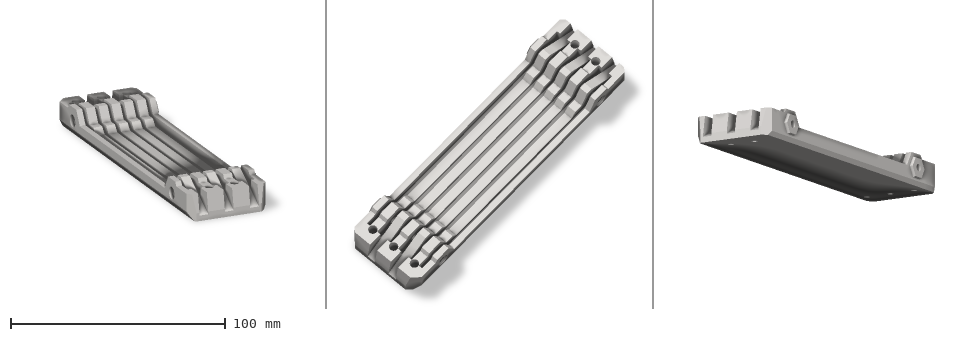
import cadquery as cq

length = 150.0
width = 40.5
height = 15.0
end_height = 13.0
rail_height = 8.1
floor_height = 5.0
half_length = length / 2
half_width = width / 2

end_draft = 1.6
draft_start = 4.0
ridge_outer_foot = 60.2
ridge_outer_top = 59.0
ridge_inner_top = 51.0
ridge_inner_foot = 47.1
shelf_edge = 42.8
floor_edge = 40.0

lane_count = 5
lane_width = 4.5
field_width = 34.5
groove_width = (field_width - lane_count * lane_width) / (lane_count + 1)
lane_pitch = lane_width + groove_width
groove_half_length = 66.2
groove_floor = 3.2

ramp_top = 54.3
ramp_exit_height = 2.7

slant_top_x = 66.8
slant_top_diameter = 4.4
slant_exit_x = 64.6
slant_exit_diameter = 2.8

cross_x = 55.0
cross_z = 8.1
cross_diameter = 3.6
counterbore_diameter = 6.2
counterbore_depth = 1.4
spigot_length = 1.4
spigot_base = 11.2
spigot_tip = 10.4

front_bottom_inward = 2.7
front_bottom_upward = 4.2
back_bottom_inward = 1.4
back_bottom_upward = 2.1
large_corner = 5.4
small_corner = 3.6

corner_margin = 1.5


def side_plate(points, y_low, y_high):
    """Extrude an XZ outline from y_low to y_high."""
    plane = cq.Workplane("XZ", origin=(0, y_high, 0))
    return plane.polyline(points).close().extrude(y_high - y_low)


def lane_y(index):
    return (index - (lane_count - 1) / 2) * lane_pitch


def make_body():
    right_half = [
        (half_length, 0),
        (half_length, draft_start),
        (half_length - end_draft, end_height),
        (ridge_outer_foot, end_height),
        (ridge_outer_top, height),
        (ridge_inner_top, height),
        (ridge_inner_foot, rail_height),
    ]
    left_half = [(-x, z) for x, z in reversed(right_half)]
    return side_plate(right_half + left_half, -half_width, half_width)


def corner_cutter(x_side, y_side, size):
    x, y = x_side * half_length, y_side * half_width
    outline = [
        (x - x_side * size, y),
        (x - x_side * size, y + y_side * corner_margin),
        (x + x_side * corner_margin, y + y_side * corner_margin),
        (x + x_side * corner_margin, y - y_side * size),
        (x, y - y_side * size),
    ]
    return cq.Workplane("XY").polyline(outline).close().extrude(height)


def bottom_cutter(y_side, inward, upward):
    y = y_side * half_width
    outline = [(y - y_side * inward, 0), (y, upward), (y, 0)]
    plane = cq.Workplane("YZ", origin=(-half_length, 0, 0))
    return plane.polyline(outline).close().extrude(length)


def middle_recess():
    outline = [
        (-floor_edge, floor_height),
        (-shelf_edge, rail_height),
        (shelf_edge, rail_height),
        (floor_edge, floor_height),
    ]
    return side_plate(outline, -field_width / 2, field_width / 2)


def groove_cutter(y):
    plane = cq.Workplane("XY", origin=(0, y, groove_floor))
    return plane.rect(2 * groove_half_length, groove_width).extrude(height - groove_floor)


def ramp_cutter(x_side, y):
    outline = [
        (x_side * ramp_top, height),
        (x_side * half_length, ramp_exit_height),
        (x_side * half_length, height),
    ]
    return side_plate(outline, y - lane_width / 2, y + lane_width / 2)


def slanted_hole(x_side, y):
    drift = x_side * (slant_top_x - slant_exit_x)
    plane = cq.Workplane("XY", origin=(x_side * slant_exit_x, y, 0))
    return (
        plane.circle(slant_exit_diameter / 2)
        .workplane(offset=end_height)
        .center(drift, 0)
        .circle(slant_top_diameter / 2)
        .loft(ruled=True)
    )


def hex_spigot(x):
    plane = cq.Workplane("XZ", origin=(x, half_width, cross_z))
    return (
        plane.polygon(6, spigot_base)
        .workplane(offset=-spigot_length)
        .polygon(6, spigot_tip)
        .loft(ruled=True)
    )


def cross_hole(x):
    start = cq.Vector(x, -half_width, cross_z)
    along_y = cq.Vector(0, 1, 0)
    through = cq.Solid.makeCylinder(cross_diameter / 2, width + spigot_length, start, along_y)
    counterbore = cq.Solid.makeCylinder(counterbore_diameter / 2, counterbore_depth, start, along_y)
    return cq.Workplane(through).union(cq.Workplane(counterbore))


result = make_body()
result = result.cut(corner_cutter(-1, -1, large_corner))
for x_side, y_side in [(-1, 1), (1, -1), (1, 1)]:
    result = result.cut(corner_cutter(x_side, y_side, small_corner))
result = result.cut(bottom_cutter(-1, front_bottom_inward, front_bottom_upward))
result = result.cut(bottom_cutter(1, back_bottom_inward, back_bottom_upward))
result = result.cut(middle_recess())

for index in range(lane_count + 1):
    result = result.cut(groove_cutter(lane_y(index) - lane_pitch / 2))

for index in range(lane_count):
    ramp_side = 1 if index % 2 == 0 else -1
    result = result.cut(ramp_cutter(ramp_side, lane_y(index)))
    result = result.cut(slanted_hole(-ramp_side, lane_y(index)))

for x in (-cross_x, cross_x):
    result = result.union(hex_spigot(x))
    result = result.cut(cross_hole(x))